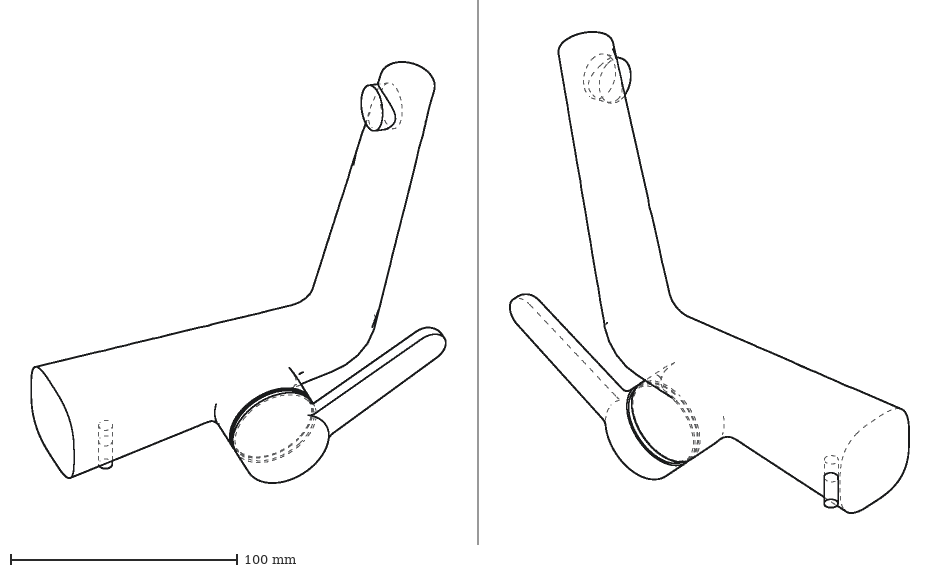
import cadquery as cq
import math

base_half = 23.0
base_exponent = 3.0
round_exponent = 2.0
outline_points = 40

spout_lean = 14.0
spout_foot_y = 138.3
spout_top_z = 142.7
spout_top_radius = 12.3
spout_top_shift = -1.65
spout_end_fillet = 2.7

elbow_body_radius = 16.8
elbow_spout_radius = 15.6
elbow_inner_radius = 7.5
elbow_outer_radius = 24.0
elbow_steps = 4

boss_y = 88.0
boss_radius = 20.25
boss_end_x = 40.8
boss_cylinder_start_x = 24.3
boss_root_x = -8.0
boss_root_radius = 16.8
boss_fillet = 6.0
boss_edge_chamfer = 0.5

ring_radius = 19.2
ring_end_x = 43.5

hub_end_x = 58.96
hub_fillet = 2.0
lever_inner_x = 49.7
lever_outer_x = 58.2
lever_tip_y = 156.4
lever_tip_z = 34.6
lever_tip_radius = 8.3
lever_root_radius = 9.5
lever_inner_fillet = 6.0
lever_root_fillet = 3.0

aerator_radius = 10.2
aerator_from_end = 15.6
aerator_face = 14.6
aerator_seat = 5.0

rod_radius = 3.1
rod_x = 0.4
rod_y = 25.5
rod_top_z = -12.0
rod_bottom_z = -36.35

margin = 0.1

lean = math.radians(spout_lean)
spout_axis = cq.Vector(0, math.sin(lean), math.cos(lean))
spout_front = cq.Vector(0, -math.cos(lean), math.sin(lean))
spout_top = cq.Vector(
    spout_top_shift, spout_foot_y + spout_top_z * math.tan(lean), spout_top_z
)


def section(center, half_width, up, half_height, exponent):
    """Closed superellipse wire: half_width along X, half_height along `up`."""
    across = cq.Vector(1, 0, 0)
    points = []
    for i in range(outline_points):
        angle = 2 * math.pi * i / outline_points
        c = math.cos(angle)
        s = math.sin(angle)
        reach = (abs(c) ** exponent + abs(s) ** exponent) ** (-1 / exponent)
        points.append(center + across * (half_width * reach * c) + up * (half_height * reach * s))
    return cq.Wire.assembleEdges([cq.Edge.makeSpline(points, periodic=True)])


def elbow_center(above_body_axis, before_spout_axis):
    """Point in the YZ plane at the given distances from the two axes."""
    y = spout_foot_y + above_body_axis * math.tan(lean) - before_spout_axis / math.cos(lean)
    return cq.Vector(0, y, above_body_axis)


def elbow_sections():
    """Ellipses spanning from the inner arc to the outer arc of the elbow."""
    inner_center = elbow_center(
        elbow_inner_radius + elbow_body_radius, elbow_inner_radius + elbow_spout_radius
    )
    outer_center = elbow_center(
        elbow_outer_radius - elbow_body_radius, elbow_outer_radius - elbow_spout_radius
    )
    turn = math.pi / 2 - lean
    sections = []
    for i in range(elbow_steps + 1):
        part = i / elbow_steps
        ray = cq.Vector(0, math.sin(turn * part), -math.cos(turn * part))
        inner = inner_center + ray * elbow_inner_radius
        outer = outer_center + ray * elbow_outer_radius
        span = inner - outer
        half_width = elbow_body_radius + part * (elbow_spout_radius - elbow_body_radius)
        middle = (inner + outer) * 0.5
        sections.append(section(middle, half_width, span.normalized(), span.Length / 2, round_exponent))
    return sections


def make_column():
    """Tapered body, elbow and tapered spout in one solid."""
    base = section(cq.Vector(0, 0, 0), base_half, cq.Vector(0, 0, 1), base_half, base_exponent)
    top = section(spout_top, spout_top_radius, spout_front, spout_top_radius, round_exponent)
    elbow = elbow_sections()
    lower = cq.Workplane(cq.Solid.makeLoft([base, elbow[0]], True))
    bend = cq.Workplane(cq.Solid.makeLoft(elbow))
    spout = cq.Solid.makeLoft([elbow[-1], top], True)
    end_edge = max(spout.Edges(), key=lambda edge: edge.Center().z)
    spout = cq.Workplane(spout.fillet(spout_end_fillet, [end_edge]))
    return lower.union(bend).union(spout)


def make_boss():
    """Cylinder along X whose root narrows so that it fades into the body."""
    return (
        cq.Workplane("XY", origin=(0, boss_y, 0))
        .moveTo(boss_root_x, 0)
        .lineTo(boss_root_x, boss_root_radius)
        .lineTo(boss_cylinder_start_x, boss_radius)
        .lineTo(boss_end_x - boss_edge_chamfer, boss_radius)
        .lineTo(boss_end_x, boss_radius - boss_edge_chamfer)
        .lineTo(boss_end_x, 0)
        .close()
        .revolve(360, (0, 0, 0), (1, 0, 0))
    )


def make_aerator():
    origin = spout_top - spout_axis * aerator_from_end + spout_front * aerator_seat
    plane = cq.Plane(origin=origin.toTuple(), xDir=(1, 0, 0), normal=spout_front.toTuple())
    return cq.Workplane(plane).circle(aerator_radius).extrude(aerator_face - aerator_seat)


def make_rod():
    return (
        cq.Workplane("XY", origin=(rod_x, rod_y, rod_bottom_z))
        .circle(rod_radius)
        .extrude(rod_top_z - rod_bottom_z)
    )


def disc(radius, start_x, end_x):
    """Round disc on the boss axis."""
    return cq.Workplane("YZ", origin=(start_x, boss_y, 0)).circle(radius).extrude(end_x - start_x)


def make_lever():
    """Tapered bar from the hub centre to a round tip, rounded on its inner side."""
    run = lever_tip_y - boss_y
    length = math.hypot(run, lever_tip_z)
    rise = math.degrees(math.atan2(lever_tip_z, run))
    return (
        cq.Workplane("YZ", origin=(lever_inner_x, boss_y, 0))
        .transformed(rotate=(0, 0, rise))
        .moveTo(0, -lever_root_radius)
        .lineTo(length, -lever_tip_radius)
        .threePointArc((length + lever_tip_radius, 0), (length, lever_tip_radius))
        .lineTo(0, lever_root_radius)
        .close()
        .extrude(lever_outer_x - lever_inner_x)
        .faces("<X")
        .edges()
        .fillet(lever_inner_fillet)
    )


def make_body():
    """Column and boss, blended where the boss leaves the body."""
    joined = make_column().union(make_boss())
    junction = cq.selectors.BoxSelector(
        (0, boss_y - boss_root_radius / 2, -boss_radius),
        (boss_cylinder_start_x - margin, boss_y + boss_root_radius / 2, boss_radius),
    )
    return joined.edges(junction).fillet(boss_fillet)


def make_handle():
    """Hub and lever, blended where the lever leaves the hub's round side."""
    hub = disc(boss_radius, ring_end_x, hub_end_x).faces(">X").edges().fillet(hub_fillet)
    hub = hub.rotate((0, boss_y, 0), (1, boss_y, 0), 180)
    junction = cq.selectors.BoxSelector(
        (lever_inner_x - margin, boss_y, -margin),
        (hub_end_x - hub_fillet - margin, boss_y + boss_radius + margin, boss_radius),
    )
    return hub.union(make_lever()).edges(junction).fillet(lever_root_fillet)


aerator = make_aerator()
rod = make_rod()
ring = disc(ring_radius, boss_end_x, ring_end_x)
handle = make_handle()
body = make_body().cut(aerator).cut(rod)

result = cq.Compound.makeCompound(
    [*body.solids().vals(), aerator.val(), rod.val(), ring.val(), *handle.solids().vals()]
)